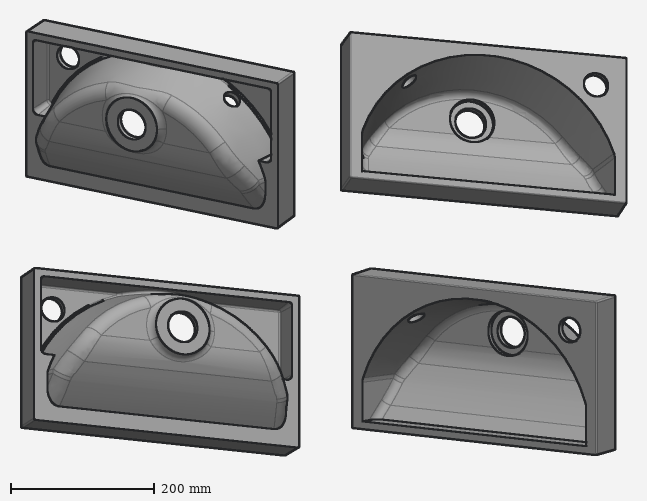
import cadquery as cq
import math


WIDTH = 400.0
HEIGHT = 220.0
TOTAL_DEPTH = 110.0
RIM_DEPTH = 50.0
RIM_DRAFT = 0.5
CORNER_RADIUS = 2.5
DECK_EDGE_RADIUS = 1.5

POCKET_MARGIN = 11.0
POCKET_BOTTOM = 97.0
DECK_THICKNESS = 10.0
POCKET_DRAFT = 3.0
POCKET_UPPER_RADIUS = 5.0
POCKET_LOWER_RADIUS = 8.0
POCKET_FLOOR_RADIUS = 3.0

RIM_Y = -RIM_DEPTH
BASIN_CENTER_Z = 12.0
BASIN_RADIUS = 189.0
BASIN_HALF_WIDTH = 180.0
BASIN_BOTTOM_Z = 23.0
LIP_Z = 12.0
BASIN_DRAFT = math.radians(14.0)
FLOOR_Y = RIM_Y - 51.5
FLOOR_END_Z = 117.5
SLOPE_Y = RIM_Y - 41.5
SLOPE_Z = 80.0
SIDE_BLEND_RADIUS = 20.0
BASIN_EDGE_RADIUS = 21.5
BASIN_WALL = 10.0

DRAIN_Z = 140.0
DRAIN_DIAMETER = 44.0
BOSS_RADIUS = 40.0
BOSS_FLARE_RADIUS = 11.0
DRAIN_SEAT_RADIUS = 32.0
DRAIN_THICKNESS = 10.0

TAP_X = -155.0
TAP_Z = 174.5
TAP_DIAMETER = 35.0
OVERFLOW_X = 114.0
OVERFLOW_Y = -26.0
OVERFLOW_DIAMETER = 24.0

SELECT_TOLERANCE = 2.0
SELECT_MARGIN = 4.0


def cylinder_along_y(radius, x, z, y_start, y_end):
    return cq.Workplane("XZ", origin=(x, y_start, z)).circle(radius).extrude(y_start - y_end)


def drafted(rim_size, inset, y):
    """Size of the basin wall at depth y, with the wall moved inward by inset."""
    return rim_size - inset / math.cos(BASIN_DRAFT) + (y - RIM_Y) * math.tan(BASIN_DRAFT)


def basin_wall(inset):
    """Solid inside the conical upper wall and the two drafted side walls."""
    end_y = -TOTAL_DEPTH
    cone = cq.Workplane(
        cq.Solid.makeCone(
            drafted(BASIN_RADIUS, inset, 0),
            drafted(BASIN_RADIUS, inset, end_y),
            TOTAL_DEPTH,
            cq.Vector(0, 0, BASIN_CENTER_Z),
            cq.Vector(0, -1, 0),
        )
    )
    deck_half = drafted(BASIN_HALF_WIDTH, inset, 0)
    end_half = drafted(BASIN_HALF_WIDTH, inset, end_y)
    sides = (
        cq.Workplane("XY")
        .polyline([(-deck_half, 0), (deck_half, 0), (end_half, end_y), (-end_half, end_y)])
        .close()
        .extrude(HEIGHT)
    )
    wall = cone.intersect(sides)
    seams = [
        edge
        for edge in wall.edges().vals()
        if edge.geomType() not in ("LINE", "CIRCLE") and edge.Center().z > BASIN_CENTER_Z
    ]
    return wall.newObject(seams).fillet(SIDE_BLEND_RADIUS)


def basin_floor(inset):
    """Prism along X bounded by the flat floor and the curved slope down to the lip."""
    slope_angle = 2 * math.atan2(SLOPE_Y - FLOOR_Y, FLOOR_END_Z - SLOPE_Z)
    rim_angle = 2 * math.atan2(RIM_Y - SLOPE_Y, SLOPE_Z - BASIN_BOTTOM_Z) - slope_angle

    def moved(y, z, angle):
        return (y + inset * math.cos(angle), z + inset * math.sin(angle))

    floor_end = moved(FLOOR_Y, FLOOR_END_Z, 0)
    slope = moved(SLOPE_Y, SLOPE_Z, slope_angle)
    rim = moved(RIM_Y, BASIN_BOTTOM_Z, rim_angle)
    lip_y = rim[0] + (rim[1] - LIP_Z) * math.tan(rim_angle)
    return (
        cq.Workplane("YZ", origin=(-WIDTH / 2, 0, 0))
        .moveTo(0, HEIGHT)
        .lineTo(floor_end[0], HEIGHT)
        .lineTo(*floor_end)
        .tangentArcPoint(slope, relative=False)
        .tangentArcPoint(rim, relative=False)
        .lineTo(lip_y, LIP_Z)
        .lineTo(0, LIP_Z)
        .close()
        .extrude(WIDTH)
    )


def floor_with_boss():
    """Basin floor with the flared drain boss, cut flat at the full depth."""
    overlong_y = -1.2 * TOTAL_DEPTH
    reach = BOSS_RADIUS + SELECT_MARGIN
    post = cylinder_along_y(BOSS_RADIUS, 0, DRAIN_Z, RIM_Y, overlong_y)
    floor = basin_floor(0).union(post)
    around_boss = cq.selectors.BoxSelector(
        (-reach, RIM_Y - SELECT_MARGIN, DRAIN_Z - reach),
        (reach, overlong_y + SELECT_MARGIN, DRAIN_Z + reach),
    )
    foot = [
        edge
        for edge in floor.edges(around_boss).vals()
        if edge.BoundingBox().ymin > -TOTAL_DEPTH and edge.BoundingBox().xmax < reach
    ]
    flared = floor.newObject(foot).fillet(BOSS_FLARE_RADIUS)
    full_depth = cq.Workplane("XY").box(WIDTH, TOTAL_DEPTH, HEIGHT, centered=(True, False, False))
    return flared.intersect(full_depth.translate((0, -TOTAL_DEPTH, 0)))


def basin(floor, inset, edge_radius):
    """Basin body with the edge between wall and floor rounded."""
    body = basin_wall(inset).intersect(floor)

    def between_wall_and_floor(edge):
        box = edge.BoundingBox()
        if box.ymin < -TOTAL_DEPTH + SELECT_TOLERANCE or box.ymax > -SELECT_TOLERANCE:
            return False
        point = edge.positionAt(0.5)
        radius = math.hypot(point.x, point.z - BASIN_CENTER_Z)
        on_cone = radius > drafted(BASIN_RADIUS, inset, point.y) - SELECT_TOLERANCE
        on_side = abs(point.x) > drafted(BASIN_HALF_WIDTH, inset, point.y) - SELECT_TOLERANCE
        return on_cone or on_side

    edges = [edge for edge in body.edges().vals() if between_wall_and_floor(edge)]
    return body.newObject(edges).fillet(edge_radius)


def rim_block():
    """Slightly drafted block with rounded corners and a rounded deck edge."""
    block = (
        cq.Workplane("XZ", origin=(0, RIM_Y, HEIGHT / 2))
        .rect(WIDTH, HEIGHT)
        .extrude(-RIM_DEPTH, taper=RIM_DRAFT)
    )
    corners = block.edges("not(#Y)").edges("not(|X)").edges("not(|Z)").fillet(CORNER_RADIUS)
    return corners.faces(">Y").edges().fillet(DECK_EDGE_RADIUS)


def pocket(basin_body):
    """Drafted pocket from the rim plane to the deck, left open around the basin."""
    height = HEIGHT - POCKET_MARGIN - POCKET_BOTTOM
    depth = RIM_DEPTH - DECK_THICKNESS
    outline = (
        cq.Sketch()
        .rect(WIDTH - 2 * POCKET_MARGIN, height)
        .vertices(">Y")
        .fillet(POCKET_UPPER_RADIUS)
        .reset()
        .vertices("<Y")
        .fillet(POCKET_LOWER_RADIUS)
    )
    cutter = (
        cq.Workplane("XZ", origin=(0, RIM_Y, POCKET_BOTTOM + height / 2))
        .placeSketch(outline)
        .extrude(-depth, taper=POCKET_DRAFT)
    )
    around_basin = cutter.cut(basin_body)
    floor_edges = around_basin.faces(">Y").edges()
    above_basin = cq.selectors.BoxSelector(
        (-SELECT_MARGIN, RIM_Y + SELECT_TOLERANCE, DRAIN_Z),
        (SELECT_MARGIN, 0, HEIGHT),
    )
    notch = around_basin.edges("not(<Y)").edges(above_basin)
    return floor_edges.add(notch).fillet(POCKET_FLOOR_RADIUS)


def overflow_hole():
    """Hole square to the basin wall, through that wall only."""
    radius = drafted(BASIN_RADIUS, 0, OVERFLOW_Y)
    outward_x = OVERFLOW_X / radius
    outward_z = math.sqrt(1 - outward_x ** 2)
    center = cq.Vector(OVERFLOW_X, OVERFLOW_Y, BASIN_CENTER_Z + radius * outward_z)
    axis = cq.Vector(
        outward_x * math.cos(BASIN_DRAFT),
        -math.sin(BASIN_DRAFT),
        outward_z * math.cos(BASIN_DRAFT),
    )
    start = center - axis * (2 * BASIN_WALL)
    return cq.Workplane(cq.Solid.makeCylinder(OVERFLOW_DIAMETER / 2, 3 * BASIN_WALL, start, axis))


outer_basin = basin(floor_with_boss(), 0, BASIN_EDGE_RADIUS)
bowl = basin(basin_floor(BASIN_WALL), BASIN_WALL, BASIN_EDGE_RADIUS - BASIN_WALL)
drain_seat = cylinder_along_y(DRAIN_SEAT_RADIUS, 0, DRAIN_Z, RIM_Y, -TOTAL_DEPTH + DRAIN_THICKNESS)
drain_hole = cylinder_along_y(DRAIN_DIAMETER / 2, 0, DRAIN_Z, 0, -TOTAL_DEPTH)
tap_hole = cylinder_along_y(TAP_DIAMETER / 2, TAP_X, TAP_Z, 0, RIM_Y)

result = (
    rim_block()
    .cut(pocket(outer_basin))
    .union(outer_basin)
    .cut(bowl)
    .cut(drain_seat)
    .cut(drain_hole)
    .cut(tap_hole)
    .cut(overflow_hole())
)